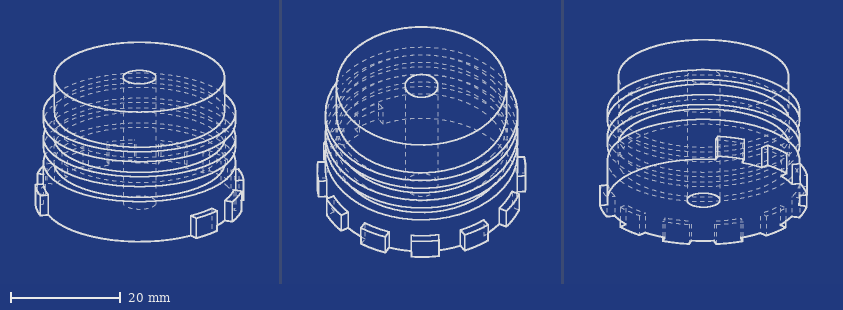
import cadquery as cq

total_height = 25.0
plug_diameter = 31.0
neck_diameter = 31.2
flange_diameter = 35.0
bore_diameter = 6.0

skirt_height = 8.0
ring_thickness = 1.97
lower_ring_base = 11.0
upper_ring_base = 16.0

lug_outer_diameter = 37.98
lug_width = 5.0
lug_height = 4.0
lug_pitch = 30
first_lug_angle = -30
lug_count = 9


def disc(diameter, base, height):
    """Vertical cylinder on the part axis."""
    return cq.Workplane("XY").workplane(offset=base).circle(diameter / 2).extrude(height)


def lug(angle):
    """Parallel-sided radial bar whose outer end follows the lug circle."""
    reach = lug_outer_diameter / 2
    bar = cq.Workplane("XY").rect(reach, lug_width).extrude(lug_height)
    bar = bar.translate((reach / 2, 0, 0))
    bar = bar.rotate((0, 0, 0), (0, 0, 1), angle)
    return bar.intersect(disc(lug_outer_diameter, 0, lug_height))


upper_ring_top = upper_ring_base + ring_thickness
body = disc(flange_diameter, 0, skirt_height)
body = body.union(disc(neck_diameter, 0, upper_ring_top))
body = body.union(disc(plug_diameter, 0, total_height))
for ring_base in (lower_ring_base, upper_ring_base):
    body = body.union(disc(flange_diameter, ring_base, ring_thickness))

for index in range(lug_count):
    body = body.union(lug(first_lug_angle + index * lug_pitch))

result = body.cut(disc(bore_diameter, 0, total_height))